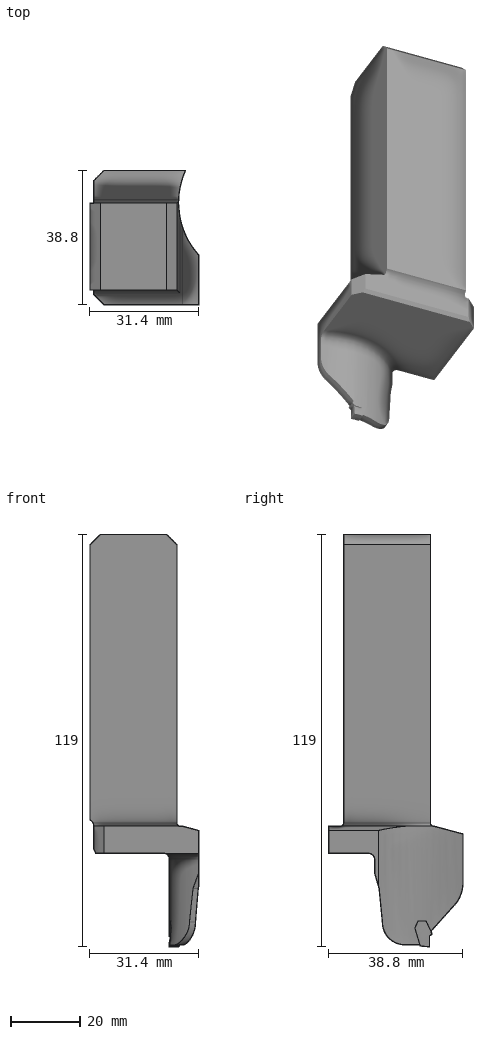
import cadquery as cq
import math

shank_side = 25.1
shank_front = 4.3
shank_back = shank_front + shank_side
total_height = 119.0
shank_chamfer = 3.0
root_fillet = 0.8
undercut_height = 1.8

collar_left = 1.1
collar_right = 31.4
collar_depth = 38.8
collar_bottom = 27.0
collar_top = 34.9
corner_chamfer = 3.0
lower_edge_width = 0.6
lower_edge_height = 1.2
slope = math.tan(math.radians(15))
side_slope_start = 26.7
back_slope_start = 30.3

arc_center_y = 29.5
outer_face_x = 22.8
outer_radius = 19.8
inner_face_x = 25.6
inner_radius = 22.6
blade_fillet = 1.7
blade_bottom = 0.6
blade_end_y = 28.0
nose_start_y = 15.5
nose_radius = 6.5
front_edge_top_y = 11.9
front_edge_upper_bend = (13.0, 22.3)
front_edge_lower_bend = (14.5, 16.9)
heel_start_z = 19.0
heel_end = (36.9, 12.7)
heel_mid = (38.3, 15.6)
insert_shoulder = (29.5, 4.5)

insert_outline = [
    (29.2, 0), (29.2, 3.2), (29.9, 3.7), insert_shoulder, (28.1, 7.5),
    (25.8, 7.5), (24.9, 5.5), (26.4, 0.2),
]
relief_front = 26.9
relief_back = 29.2
relief_top = 3.0
relief_bottom = 1.2
relief_depth = 0.4


def vertical_cylinder(face_x, radius):
    """Tall cylinder whose -X-most line lies at face_x."""
    return (
        cq.Workplane("XY")
        .center(face_x + radius, arc_center_y)
        .circle(radius)
        .extrude(total_height)
    )


def extrude_along_x(outline):
    """Prism of a closed (y, z) sketch across the whole tool width."""
    return outline.close().extrude(collar_right)


def make_shank():
    undercut_width = collar_left
    undercut_radius = (undercut_width**2 + undercut_height**2) / (2 * undercut_width)
    mid_z = undercut_height / 2
    mid_x = collar_left - undercut_radius + math.sqrt(undercut_radius**2 - mid_z**2)
    fillet_sag = root_fillet * (1 - math.sqrt(0.5))
    fillet_top = collar_top + root_fillet
    side_profile = (
        cq.Workplane("XZ")
        .moveTo(collar_left, collar_top)
        .threePointArc((mid_x, collar_top + mid_z), (0, collar_top + undercut_height))
        .lineTo(0, total_height - shank_chamfer)
        .lineTo(shank_chamfer, total_height)
        .lineTo(shank_side - shank_chamfer, total_height)
        .lineTo(shank_side, total_height - shank_chamfer)
        .lineTo(shank_side, fillet_top)
        .threePointArc(
            (shank_side + fillet_sag, collar_top + fillet_sag),
            (shank_side + root_fillet, collar_top),
        )
        .close()
        .extrude(-collar_depth)
    )
    end_profile = extrude_along_x(
        cq.Workplane("YZ")
        .moveTo(shank_front - root_fillet, collar_top)
        .threePointArc(
            (shank_front - fillet_sag, collar_top + fillet_sag),
            (shank_front, fillet_top),
        )
        .lineTo(shank_front, total_height)
        .lineTo(shank_back, total_height)
        .lineTo(shank_back, fillet_top)
        .threePointArc(
            (shank_back + fillet_sag, collar_top + fillet_sag),
            (shank_back + root_fillet, collar_top),
        )
    )
    return side_profile.intersect(end_profile)


def make_collar():
    side_profile = (
        cq.Workplane("XZ")
        .moveTo(collar_left + lower_edge_width, collar_bottom)
        .lineTo(collar_left, collar_bottom + lower_edge_height)
        .lineTo(collar_left, collar_top)
        .lineTo(side_slope_start, collar_top)
        .lineTo(collar_right, collar_top - slope * (collar_right - side_slope_start))
        .lineTo(collar_right, collar_bottom)
        .close()
        .extrude(-collar_depth)
    )
    back_profile = extrude_along_x(
        cq.Workplane("YZ")
        .moveTo(0, collar_bottom)
        .lineTo(0, collar_top)
        .lineTo(back_slope_start, collar_top)
        .lineTo(collar_depth, collar_top - slope * (collar_depth - back_slope_start))
        .lineTo(collar_depth, collar_bottom)
    )
    plan = (
        cq.Workplane("XY")
        .moveTo(collar_left + corner_chamfer, 0)
        .lineTo(collar_right, 0)
        .lineTo(collar_right, collar_depth)
        .lineTo(collar_left + corner_chamfer, collar_depth)
        .lineTo(collar_left, collar_depth - corner_chamfer)
        .lineTo(collar_left, corner_chamfer)
        .close()
        .extrude(total_height)
    )
    return side_profile.intersect(back_profile).intersect(plan)


def make_blade():
    nose_z = blade_bottom + nose_radius
    nose_diagonal = nose_radius * (1 - math.sqrt(0.5))
    profile = extrude_along_x(
        cq.Workplane("YZ")
        .moveTo(front_edge_top_y, collar_bottom)
        .lineTo(*front_edge_upper_bend)
        .lineTo(*front_edge_lower_bend)
        .lineTo(nose_start_y, nose_z)
        .threePointArc(
            (nose_start_y + nose_diagonal, blade_bottom + nose_diagonal),
            (nose_start_y + nose_radius, blade_bottom),
        )
        .lineTo(blade_end_y, blade_bottom)
        .lineTo(*insert_shoulder)
        .lineTo(*heel_end)
        .threePointArc(heel_mid, (collar_depth, heel_start_z))
        .lineTo(collar_depth, collar_bottom)
    )
    return profile.intersect(vertical_cylinder(outer_face_x, outer_radius))


def make_holder():
    margin = 0.1
    foot_zone = cq.selectors.BoxSelector(
        (outer_face_x - margin, -margin, collar_bottom - margin),
        (collar_right + margin, collar_depth + margin, collar_bottom + margin),
        boundingbox=True,
    )
    holder = make_collar().union(make_blade())
    holder = holder.edges(foot_zone).edges("%CIRCLE").fillet(blade_fillet)
    holder = holder.union(make_shank())
    return holder.cut(vertical_cylinder(inner_face_x, inner_radius))


def make_insert():
    body = extrude_along_x(cq.Workplane("YZ").polyline(insert_outline))
    body = body.intersect(vertical_cylinder(outer_face_x, outer_radius))
    return body.cut(vertical_cylinder(inner_face_x, inner_radius))


def make_relief():
    """Shallow wedge in the insert's outer face, deepest at its upper end."""
    return (
        cq.Workplane("XZ", origin=(0, relief_front, 0))
        .moveTo(outer_face_x, relief_bottom)
        .lineTo(outer_face_x + relief_depth, relief_top)
        .lineTo(outer_face_x, relief_top)
        .close()
        .extrude(relief_front - relief_back)
    )


insert_blank = make_insert()
holder = make_holder().cut(insert_blank)
insert = insert_blank.cut(make_relief())
result = cq.Compound.makeCompound([holder.val(), insert.val()])